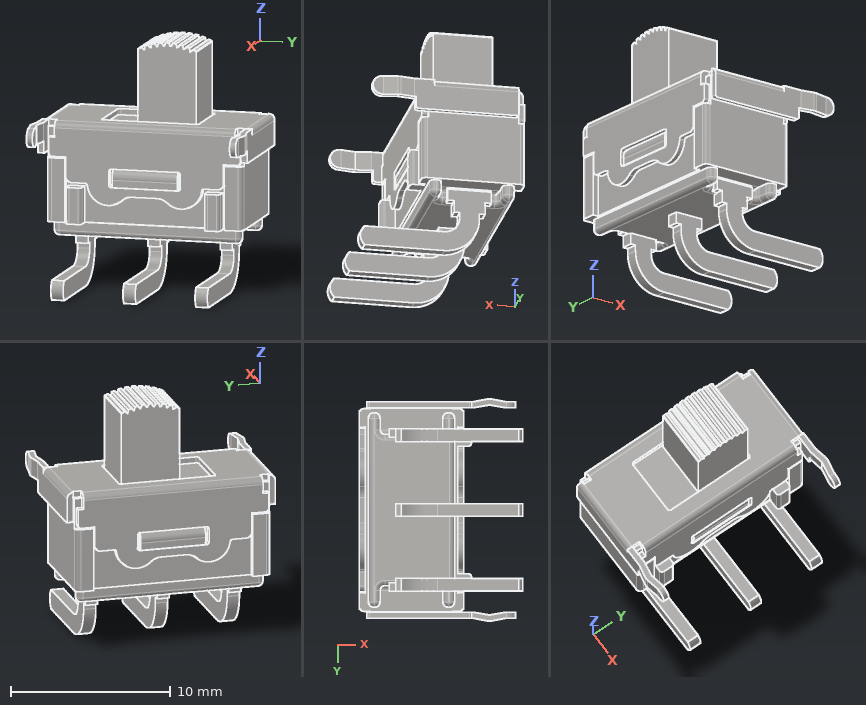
import cadquery as cq
import math


overall_length = 10.3
overall_width = 13.98
overall_height = 15.87

case_width = 6.59
case_half_x = case_width / 2
case_half_y = 6.38
case_corner_radius = 0.32
post_top = 4.1
post_inner_y = 5.2

sheet = 0.4
cover_top = 6.45
side_bend_radius = 0.41
end_bend_radius = 0.38
side_inner_x = case_half_x - sheet
plate_bottom = cover_top - sheet

relief_x = 2.6
relief_y = 5.87

shoulder_half_y = 6.24
shoulder_top = 5.43
shoulder_bottom = 4.19
shoulder_radius = 0.2
tongue_half_y = 5.14
tongue_bottom = 2.57
tongue_radius = 0.38
lobe_y = 2.38
lobe_radius = 1.35
lobe_corner_radius = 0.16
lobe_blend_radius = 1.0
middle_edge_z = 1.83

window_half_y = 2.33
window_bottom = 2.36
window_top = 3.55
window_radius = 0.19
latch_length = 4.24
latch_half_y = latch_length / 2
latch_knee = 2.85
latch_height = 0.35

arm_offset = 0.17
flange_outer_y = overall_width / 2 - arm_offset
flange_inner_y = flange_outer_y - sheet
flange_start_x = -2.82
flange_end_x = 3.8
flange_bottom = 4.45
flange_corner_radius = 0.16
arm_bottom = 5.22
arm_rise_x = 3.92
arm_peak_x = 4.9
arm_peak_flat = 0.19
arm_fall_x = 5.89
arm_end_x = 6.55
arm_round_x = 5.95

slot_width = 4.02
slot_half_x = slot_width / 2
slot_half_y = 3.16
slot_radius = 0.16
actuator_side = 3.82
actuator_y = 1.1
actuator_top = 11.54
rib_arc_radius = 4.13
rib_count = 9
rib_pitch = 0.46
rib_depth = 0.2
rib_crest_width = 0.2
rib_root_width = 0.41
ledge_drop = 0.48
ledge_width = 0.1

peg_outer_x = 3.78
peg_y = 4.5
peg_width = 1.02
peg_height = 2.33
peg_radius = 0.2

base_half_x = 2.71
base_half_y = 6.13
base_height = 0.97
base_round = 0.35
base_bar = 0.75
base_wall_y = 4.76
base_corner_radius = 0.37
base_inner_radius = 0.29
base_root_radius = 0.27

lead_pitch = 4.7
lead_thickness = 0.81
lead_half_width = 0.63
lead_end_x = overall_length - case_half_x
lead_bottom = actuator_top - overall_height
lead_bend_radius = 1.0
lead_tip = 0.27
shank_half_width = 1.4
shank_bottom = -0.92
stop_half_width = 1.0
stop_bottom = -1.7
shank_chamfer = 0.17


def block(x0, x1, y0, y1, z0, z1):
    """Box between two opposite corners."""
    return cq.Workplane("XY").box(x1 - x0, y1 - y0, z1 - z0, centered=False).translate((x0, y0, z0))


def both_sides(solid, plane):
    """A solid together with its mirror image."""
    return solid.union(solid.mirror(plane))


def case():
    lower = block(-case_half_x, case_half_x, -case_half_y, case_half_y, 0, post_top)
    lower = lower.edges("|Z").fillet(case_corner_radius)
    recess = block(side_inner_x, case_half_x, -post_inner_y, post_inner_y, 0, post_top)
    upper = block(-side_inner_x, side_inner_x, -case_half_y, case_half_y, 0, plate_bottom)
    return lower.cut(both_sides(recess, "YZ")).union(upper)


def latch():
    """Case latch on the +X side: upright below the knee, curving inward above it."""
    outer_x = side_inner_x + latch_height
    arc_mid_x = side_inner_x + latch_height * math.cos(math.pi / 4)
    arc_mid_z = latch_knee + (window_top - latch_knee) * math.sin(math.pi / 4)
    return (
        cq.Workplane("XZ", origin=(0, latch_half_y, 0))
        .moveTo(side_inner_x, window_bottom)
        .lineTo(outer_x, window_bottom)
        .lineTo(outer_x, latch_knee)
        .threePointArc((arc_mid_x, arc_mid_z), (side_inner_x, window_top))
        .close()
        .extrude(2 * latch_half_y)
    )


def side_flange():
    """Lower part of the +X cover flange, with its shoulders, two-lobed tongue and window."""
    def slab(half_y, z0, z1):
        return block(side_inner_x, case_half_x, -half_y, half_y, z0, z1)

    def lower_corners_rounded(solid, radius):
        return solid.edges("|X and <Z").fillet(radius)

    shoulder = lower_corners_rounded(slab(shoulder_half_y, shoulder_bottom, shoulder_top), shoulder_radius)
    tongue = lower_corners_rounded(slab(tongue_half_y, tongue_bottom, shoulder_top), tongue_radius)

    drop = tongue_bottom - (middle_edge_z - lobe_blend_radius)
    reach = lobe_radius + lobe_blend_radius
    blend_y = lobe_y - math.sqrt(reach**2 - drop**2)
    touch_y = lobe_y + (blend_y - lobe_y) * lobe_radius / reach
    touch_z = tongue_bottom - drop * lobe_radius / reach
    blend_angle = (math.pi / 2 + math.atan2(drop, lobe_y - blend_y)) / 2
    blend_mid_y = blend_y + lobe_blend_radius * math.cos(blend_angle)
    blend_mid_z = middle_edge_z - lobe_blend_radius * (1 - math.sin(blend_angle))
    lobe_bottom = tongue_bottom - lobe_radius
    lobes = (
        cq.Workplane("YZ", origin=(side_inner_x, 0, 0))
        .moveTo(-lobe_y - lobe_radius, tongue_bottom)
        .lineTo(lobe_y + lobe_radius, tongue_bottom)
        .threePointArc((lobe_y, lobe_bottom), (touch_y, touch_z))
        .threePointArc((blend_mid_y, blend_mid_z), (blend_y, middle_edge_z))
        .lineTo(-blend_y, middle_edge_z)
        .threePointArc((-blend_mid_y, blend_mid_z), (-touch_y, touch_z))
        .threePointArc((-lobe_y, lobe_bottom), (-lobe_y - lobe_radius, tongue_bottom))
        .close()
        .extrude(sheet)
    )
    window = slab(window_half_y, window_bottom, window_top).edges("|X").fillet(window_radius)
    flange = shoulder.union(tongue).union(lobes)
    for side in (-1, 1):
        corner = (case_half_x - sheet / 2, side * (lobe_y + lobe_radius), tongue_bottom)
        flange = flange.edges(cq.selectors.NearestToPointSelector(corner)).fillet(lobe_corner_radius)
    return flange.cut(window)


def spring_arm():
    """Cranked arm that continues the +Y end flange toward +X."""
    peak_start = arm_peak_x - arm_peak_flat / 2
    peak_end = arm_peak_x + arm_peak_flat / 2
    outer = flange_outer_y
    inner = flange_inner_y
    plan = (
        cq.Workplane("XY", origin=(0, 0, arm_bottom))
        .polyline([
            (flange_end_x, outer),
            (arm_rise_x, outer),
            (peak_start, outer + arm_offset),
            (peak_end, outer + arm_offset),
            (arm_fall_x, outer),
            (arm_end_x, outer),
            (arm_end_x, inner),
            (arm_fall_x, inner),
            (arm_peak_x, inner + arm_offset),
            (arm_rise_x, inner),
            (flange_end_x, inner),
        ])
        .close()
        .extrude(cover_top - arm_bottom)
    )
    side = (
        cq.Workplane("XZ", origin=(0, outer + arm_offset, 0))
        .moveTo(flange_end_x, arm_bottom)
        .lineTo(arm_round_x, arm_bottom)
        .threePointArc((arm_end_x, (arm_bottom + cover_top) / 2), (arm_round_x, cover_top))
        .lineTo(flange_end_x, cover_top)
        .close()
        .extrude(outer + arm_offset - inner)
    )
    return plan.intersect(side)


def end_flange():
    """Cover flange at the +Y end: bent part, flat tab and spring arm."""
    bent = block(flange_start_x, relief_x, flange_inner_y, flange_outer_y, flange_bottom, cover_top)
    bent = bent.edges("|X and >Z and >Y").fillet(end_bend_radius)
    bent = bent.edges("|Y and <X and <Z").fillet(flange_corner_radius)
    tab = block(relief_x, flange_end_x, flange_inner_y, flange_outer_y, flange_bottom, cover_top)
    tab = tab.edges("|Y and >X and <Z").fillet(flange_corner_radius)
    return bent.union(tab).union(spring_arm())


def cover():
    across = block(-case_half_x, case_half_x, -relief_y, relief_y, shoulder_top, cover_top)
    across = across.edges("|Y and >Z").fillet(side_bend_radius)
    across = across.cut(block(-side_inner_x, side_inner_x, -relief_y, relief_y, shoulder_top, plate_bottom))
    along = block(-relief_x, relief_x, -flange_inner_y, flange_inner_y, plate_bottom, cover_top)
    slot = block(-slot_half_x, slot_half_x, -slot_half_y, slot_half_y, plate_bottom, cover_top)
    slot = slot.edges("|Z").fillet(slot_radius)
    plate = across.union(along).cut(slot)
    return plate.union(both_sides(side_flange(), "YZ")).union(both_sides(end_flange(), "XZ"))


def actuator():
    """Square actuator whose arched top carries trapezoidal finger ribs."""
    half = actuator_side / 2
    arc_z = actuator_top - rib_arc_radius
    root_z = actuator_top - rib_depth
    rib_outline = [
        (actuator_y - rib_root_width / 2, arc_z),
        (actuator_y - rib_root_width / 2, root_z),
        (actuator_y - rib_crest_width / 2, actuator_top),
        (actuator_y + rib_crest_width / 2, actuator_top),
        (actuator_y + rib_root_width / 2, root_z),
        (actuator_y + rib_root_width / 2, arc_z),
    ]
    rib = cq.Workplane("YZ", origin=(-half, 0, 0)).polyline(rib_outline).close().extrude(actuator_side)
    core = cq.Workplane("YZ", origin=(-half, actuator_y, arc_z))
    crown = core.circle(rib_arc_radius - rib_depth).extrude(actuator_side)
    for index in range(rib_count):
        angle = math.degrees((index - (rib_count - 1) / 2) * rib_pitch / rib_arc_radius)
        crown = crown.union(rib.rotate((0, actuator_y, arc_z), (1, actuator_y, arc_z), angle))
    ledge_top = actuator_top - ledge_drop
    for y in (actuator_y - half, actuator_y + half - ledge_width):
        crown = crown.union(block(-half, half, y, y + ledge_width, plate_bottom, ledge_top))
    stem = block(-half, half, actuator_y - half, actuator_y + half, plate_bottom, actuator_top)
    return stem.intersect(crown)


def peg():
    """Locating peg on the +X side, at +Y."""
    solid = block(side_inner_x, peg_outer_x, peg_y - peg_width / 2, peg_y + peg_width / 2, 0, peg_height)
    return solid.edges("|Z and >X").fillet(peg_radius)


def base():
    """H-shaped base: a centre block with long side bars projecting past each end."""
    solid = block(-base_half_x, base_half_x, -base_half_y, base_half_y, -base_height, 0)
    notch_half_x = base_half_x - base_bar
    notch = block(-notch_half_x, notch_half_x, base_wall_y, base_half_y, -base_height, 0)
    notch = notch.edges("|Z and <Y").fillet(base_inner_radius)
    solid = solid.cut(both_sides(notch, "XZ"))
    solid = solid.edges("|Z and (<Y or >Y)").fillet(base_corner_radius)
    solid = solid.faces("<Z").edges().fillet(base_round)

    arc_inset = base_root_radius * (1 - math.sqrt(0.5))
    root = (
        cq.Workplane("YZ", origin=(-notch_half_x, 0, 0))
        .moveTo(base_wall_y, 0)
        .lineTo(base_wall_y, -base_root_radius)
        .threePointArc((base_wall_y + arc_inset, -arc_inset), (base_wall_y + base_root_radius, 0))
        .close()
        .extrude(2 * notch_half_x)
    )
    return solid.union(both_sides(root, "XZ"))


def lead(y):
    """Stepped lead that bends from vertical toward +X and ends in a rounded tip."""
    tail_top = lead_bottom + 2 * lead_half_width
    outer_radius = lead_bend_radius + 2 * lead_half_width
    bend_x = lead_half_width + lead_bend_radius
    bend_z = tail_top + lead_bend_radius
    diagonal = math.sqrt(0.5)
    outline = (
        cq.Workplane("XZ", origin=(0, y + lead_thickness / 2, 0))
        .moveTo(-stop_half_width, shank_bottom)
        .lineTo(-stop_half_width, stop_bottom)
        .lineTo(-lead_half_width, stop_bottom)
        .lineTo(-lead_half_width, bend_z)
        .threePointArc(
            (bend_x - outer_radius * diagonal, bend_z - outer_radius * diagonal),
            (bend_x, lead_bottom),
        )
        .lineTo(lead_end_x - lead_tip, lead_bottom)
        .threePointArc((lead_end_x, lead_bottom + lead_half_width), (lead_end_x - lead_tip, tail_top))
        .lineTo(bend_x, tail_top)
        .threePointArc(
            (bend_x - lead_bend_radius * diagonal, bend_z - lead_bend_radius * diagonal),
            (lead_half_width, bend_z),
        )
        .lineTo(lead_half_width, stop_bottom)
        .lineTo(stop_half_width, stop_bottom)
        .lineTo(stop_half_width, shank_bottom)
        .close()
        .extrude(lead_thickness)
    )
    half = lead_thickness / 2
    shank = block(-shank_half_width, shank_half_width, y - half, y + half, shank_bottom, 0)
    shank = shank.edges("|X and >Z").chamfer(shank_chamfer)
    return outline.union(shank)


switch = case().union(both_sides(latch(), "YZ")).union(cover()).union(actuator())
switch = switch.union(both_sides(peg(), "XZ")).union(base())
for lead_index in (-1, 0, 1):
    switch = switch.union(lead(lead_index * lead_pitch))
result = cq.Workplane(switch.solids().val())